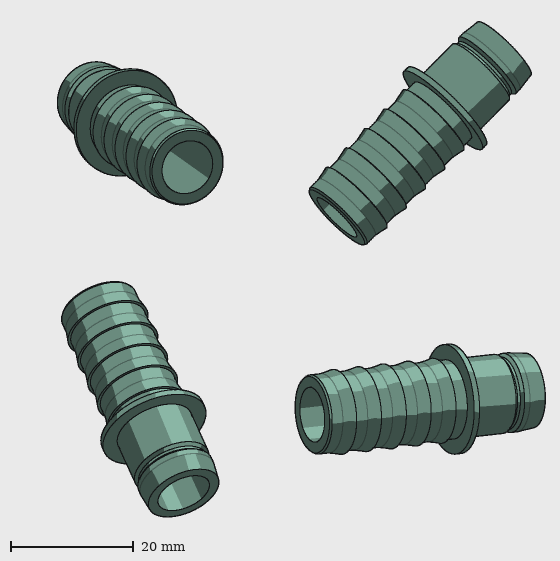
import cadquery as cq

total_length = 39.5
body_radius = 6.5
bore_radius = 4.5

nose_length = 3.0
nose_tip_radius = 6.15

groove_start = 4.0
groove_width = 1.55
groove_depth = 0.5

flange_radius = 9.0
flange_start = 13.45
flange_thickness = 1.0

barb_count = 5
barb_radius = 7.0
first_barb_start = 16.75
barb_pitch = 4.55
barb_length = barb_pitch / 2

end_chamfer_length = 0.35
end_chamfer_depth = 0.25


def revolve_about_x(profile):
    """Turn a closed XZ profile into a solid of revolution around the X axis."""
    return profile.close().revolve(360, (0, 0, 0), (1, 0, 0))


def make_body():
    """Solid spigot with a conical nose and a chamfered hose end."""
    profile = (
        cq.Workplane("XZ")
        .lineTo(0, nose_tip_radius)
        .lineTo(nose_length, body_radius)
        .lineTo(total_length - end_chamfer_length, body_radius)
        .lineTo(total_length, body_radius - end_chamfer_depth)
        .lineTo(total_length, 0)
    )
    return revolve_about_x(profile)


def make_groove():
    """Ring of material to remove for the seal groove."""
    floor_radius = body_radius - groove_depth
    groove_end = groove_start + groove_width
    profile = (
        cq.Workplane("XZ")
        .moveTo(groove_start, body_radius)
        .lineTo(groove_start + groove_depth, floor_radius)
        .lineTo(groove_end - groove_depth, floor_radius)
        .lineTo(groove_end, body_radius)
    )
    return revolve_about_x(profile)


def make_flange():
    """Thin disc that stops the spigot."""
    return cq.Workplane("YZ", origin=(flange_start, 0, 0)).circle(flange_radius).extrude(flange_thickness)


def make_barb(start):
    """Conical barb, widest at its start and tapering down to the body."""
    end = start + barb_length
    profile = (
        cq.Workplane("XZ")
        .moveTo(start, 0)
        .lineTo(start, barb_radius)
        .lineTo(end, body_radius)
        .lineTo(end, 0)
    )
    return revolve_about_x(profile)


def make_bore():
    """Straight bore through the whole length."""
    return cq.Workplane("YZ").circle(bore_radius).extrude(total_length)


result = make_body().cut(make_groove()).union(make_flange())
for index in range(barb_count):
    result = result.union(make_barb(first_barb_start + index * barb_pitch))
result = result.cut(make_bore())